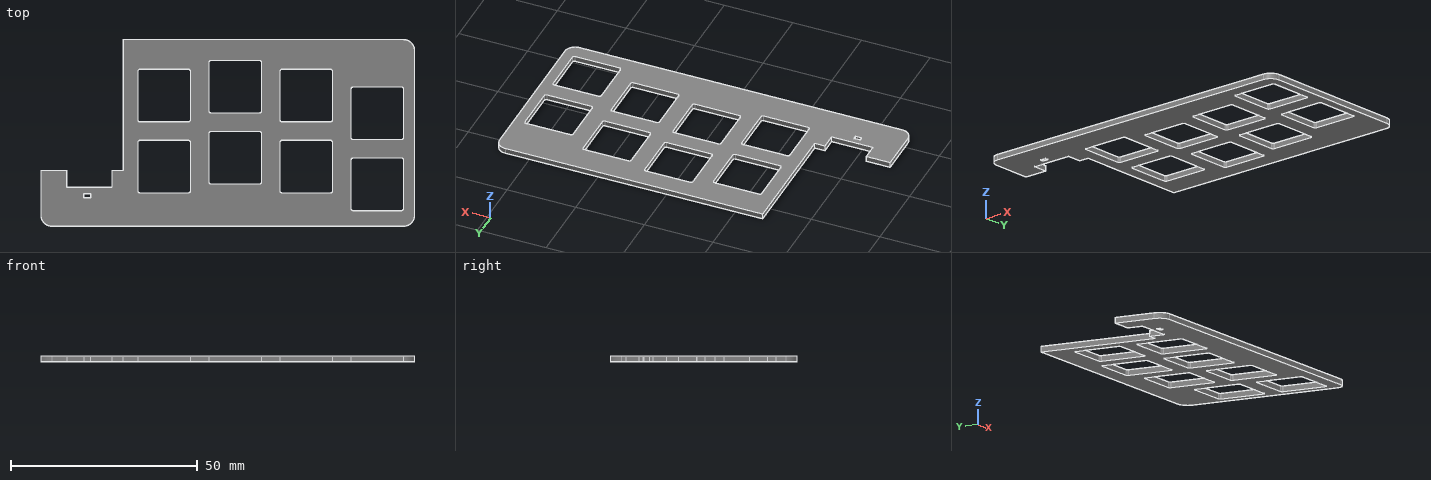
import cadquery as cq

plate_length = 100.0
plate_width = 50.0
plate_thickness = 1.6
plate_corner_radius = 3.0

tab_length = 22.0
tab_width = 15.0
notch_start = 7.0
notch_length = 12.0
notch_depth = 4.5

slot_length = 1.8
slot_width = 1.0
slot_center = (12.4, 8.2)

key_size = 14.0
key_pitch = 19.0
key_corner_radius = 0.5
key_rows = 2
first_key_center = (33.0, 16.0)
stagger = 2.375
column_offsets = (0.0, stagger, 0.0, -2 * stagger)


def plate_blank():
    """L-shaped plate with a notched tab and three rounded corners."""
    notch_end = notch_start + notch_length
    notch_floor = tab_width - notch_depth
    outline = [
        (0, 0),
        (plate_length, 0),
        (plate_length, plate_width),
        (tab_length, plate_width),
        (tab_length, tab_width),
        (notch_end, tab_width),
        (notch_end, notch_floor),
        (notch_start, notch_floor),
        (notch_start, tab_width),
        (0, tab_width),
    ]
    blank = cq.Workplane("XY").polyline(outline).close().extrude(plate_thickness)
    lower_corners = blank.edges("|Z").edges("<Y")
    right_corners = blank.edges("|Z").edges(">X")
    return blank.newObject(lower_corners.add(right_corners).vals()).fillet(plate_corner_radius)


def key_centers():
    """Centers of all key openings, column by column."""
    first_x, first_y = first_key_center
    return [
        (first_x + column * key_pitch, first_y + offset + row * key_pitch)
        for column, offset in enumerate(column_offsets)
        for row in range(key_rows)
    ]


def key_openings():
    """Square through-cutters with rounded corners, one per key."""
    return (
        cq.Workplane("XY")
        .pushPoints(key_centers())
        .rect(key_size, key_size)
        .extrude(plate_thickness)
        .edges("|Z")
        .fillet(key_corner_radius)
    )


def slot():
    """Small rectangular through-cutter in the tab."""
    return (
        cq.Workplane("XY")
        .center(*slot_center)
        .rect(slot_length, slot_width)
        .extrude(plate_thickness)
    )


result = plate_blank().cut(key_openings()).cut(slot())